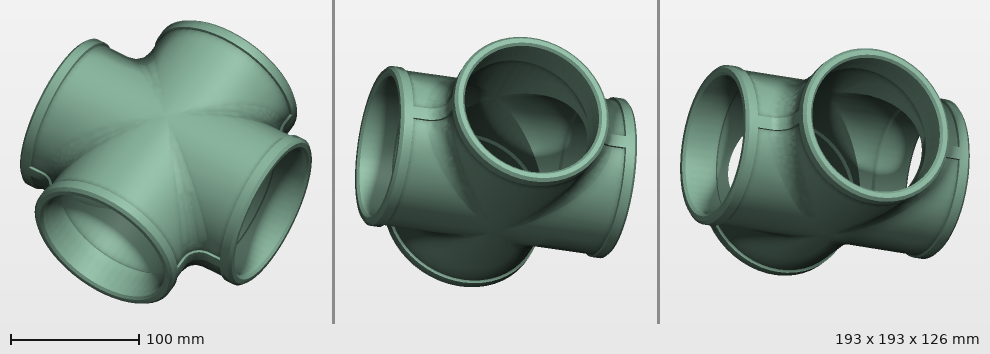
import cadquery as cq

span = 193.0
collar_diameter = 126.0
collar_length = 9.6
collar_chamfer = 2.3
collar_taper = 0.5
body_diameter = 122.0
thread_diameter = 110.0
chamber_diameter = 113.9
thread_depth = 28.2
chamber_taper = 2.0
mouth_chamfer = 2.0
rib_height = 10.0
zone_margin = 2.0
blend_radius = 15.0

half_span = span / 2
body_radius = body_diameter / 2
collar_radius = collar_diameter / 2
thread_radius = thread_diameter / 2
chamber_radius = chamber_diameter / 2
rib_blend_radius = body_radius + blend_radius - collar_radius

PORT_ANGLES = (0, 90, 180, 270)


def around_z(shape, angle):
    return shape.rotate((0, 0, 0), (0, 0, 1), angle)


def crossed_bars(diameter):
    """Two full-length cylinders crossing at the origin, along X and along Y."""
    bar = cq.Workplane("YZ").circle(diameter / 2).extrude(half_span, both=True)
    return bar.union(around_z(bar, 90))


def blended_cross(diameter, radius):
    """Crossing cylinders with their seams rounded."""
    return crossed_bars(diameter).edges("%ELLIPSE").fillet(radius)


def turned_along_x(profile):
    """Solid of revolution about X from (x, radius) points, closed along the axis."""
    outline = [(profile[0][0], 0), *profile, (profile[-1][0], 0)]
    return cq.Workplane("XY").polyline(outline).close().revolve(360, (0, 0, 0), (1, 0, 0))


def envelope():
    """Cross at collar diameter, with chamfered port edges."""
    cross = blended_cross(collar_diameter, rib_blend_radius)
    return cross.faces("<X or >X or <Y or >Y").chamfer(collar_chamfer)


def body():
    """Slimmer cross whose arms stop inside the collars."""
    reach = span - 2 * collar_chamfer
    limits = cq.Workplane("XY").box(reach, reach, body_diameter)
    return blended_cross(body_diameter, blend_radius).intersect(limits)


def rib_zone():
    """Slab at mid height where the full envelope is kept as a rib."""
    return cq.Workplane("XY").box(span, span, rib_height)


def collar_zone():
    """Oversize disc at the +X port where the full envelope is kept as a collar."""
    rim = half_span - collar_length
    return turned_along_x([
        (rim - collar_taper, body_radius),
        (rim, collar_radius),
        (rim, collar_radius + zone_margin),
        (half_span, collar_radius + zone_margin),
    ])


def bore():
    """Hollow of the +X arm: chamfered mouth, straight bore, wider chamber to the centre."""
    bore_end = half_span - thread_depth
    return turned_along_x([
        (0, chamber_radius),
        (bore_end - chamber_taper, chamber_radius),
        (bore_end, thread_radius),
        (half_span - mouth_chamfer, thread_radius),
        (half_span, thread_radius + mouth_chamfer),
    ])


raised_zones = rib_zone()
for angle in PORT_ANGLES:
    raised_zones = raised_zones.union(around_z(collar_zone(), angle))

fitting = envelope().intersect(raised_zones).union(body())
for angle in PORT_ANGLES:
    fitting = fitting.cut(around_z(bore(), angle))

result = fitting.solids()